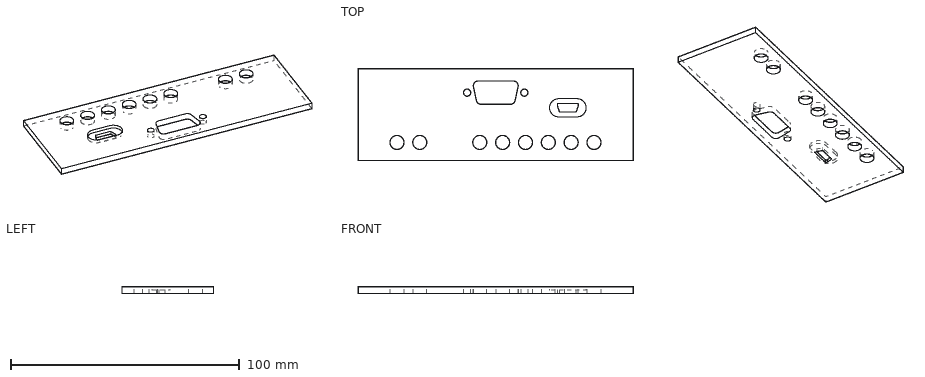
import cadquery as cq

plate_length = 120.3
plate_width = 40.2
plate_thickness = 3.0

row_hole_diameter = 6.0
row_pitch = 10.0
row_y = -12.2
row_groups = [(-43.2, 2), (-7.0, 6)]

connector_x = 0.0
connector_y = 9.6
connector_height = 10.1
connector_top_width = 20.5
connector_bottom_width = 16.1
connector_corner_radius = 2.0
screw_hole_diameter = 3.0
screw_hole_spacing = 25.0

port_x = 31.5
port_y = 3.0
recess_length = 16.0
recess_width = 7.9
recess_depth = plate_thickness / 2
port_height = 3.6
port_top_width = 9.0
port_bottom_width = 7.2
port_side_height = 1.0


def through_holes(centres, diameter):
    """Round cutters reaching through the plate."""
    return cq.Workplane("XY").pushPoints(centres).circle(diameter / 2).extrude(plate_thickness)


def tapered_opening(x, y, height, top_width, bottom_width, side_height=0.0):
    """Cutter narrowing toward -Y, with optional straight sides at its wide end."""
    top = height / 2
    outline = cq.Workplane("XY", origin=(x, y, 0)).moveTo(-top_width / 2, top).lineTo(top_width / 2, top)
    if side_height > 0:
        outline = outline.lineTo(top_width / 2, top - side_height)
    outline = outline.lineTo(bottom_width / 2, -top).lineTo(-bottom_width / 2, -top)
    if side_height > 0:
        outline = outline.lineTo(-top_width / 2, top - side_height)
    return outline.close().extrude(plate_thickness)


plate = cq.Workplane("XY").box(plate_length, plate_width, plate_thickness, centered=(True, True, False))

row_centres = [(first_x + i * row_pitch, row_y) for first_x, count in row_groups for i in range(count)]
row_holes = through_holes(row_centres, row_hole_diameter)

connector = tapered_opening(
    connector_x, connector_y, connector_height, connector_top_width, connector_bottom_width
).edges("|Z").fillet(connector_corner_radius)
screw_centres = [(connector_x + side * screw_hole_spacing / 2, connector_y) for side in (-1, 1)]
screw_holes = through_holes(screw_centres, screw_hole_diameter)

port = tapered_opening(port_x, port_y, port_height, port_top_width, port_bottom_width, port_side_height)
recess = (
    cq.Workplane("XY", origin=(port_x, port_y, plate_thickness))
    .slot2D(recess_length, recess_width)
    .extrude(-recess_depth)
)

result = plate.cut(row_holes).cut(connector).cut(screw_holes).cut(port).cut(recess)